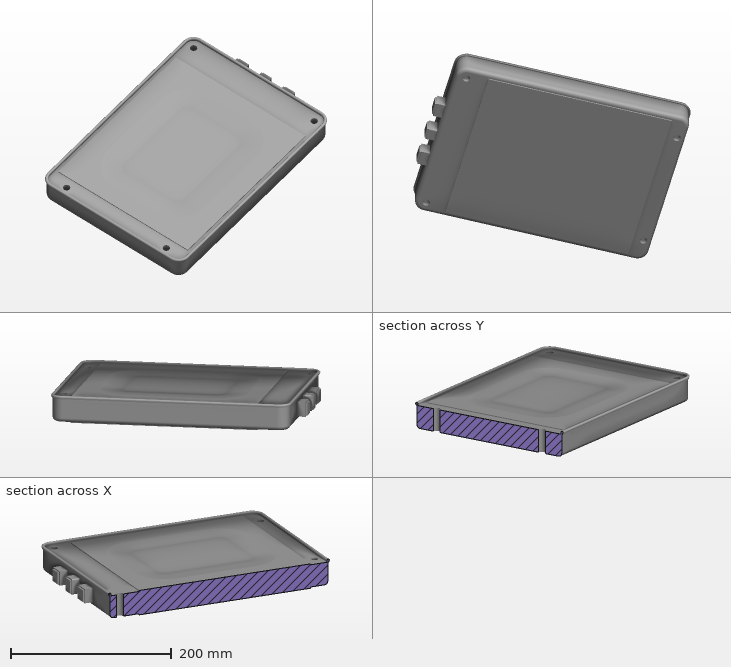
import cadquery as cq

OVERALL_LENGTH = 315.0

CASE_WIDTH = 219.0
CASE_LENGTH = 300.0
CORNER_RADIUS = 14.0
CASE_BOTTOM = 1.5
PANEL_HEIGHT = 31.5
BOTTOM_FILLET = 5.0

BEAD_RADIUS = 2.05
RIM_TOP = 35.3
BEAD_Z = RIM_TOP - BEAD_RADIUS
RIM_BOTTOM = 31.2
BAND_TOP_OVERHANG = 1.5
BAND_BOTTOM_OVERHANG = 1.3

PAD_WIDTH = 205.3
PAD_LENGTH = 236.2
PAD_CENTER_Y = -8.2
PAD_TOP = PANEL_HEIGHT + 1.3
PAD_BOTTOM = 0

DISH_WIDTH = 151.0
DISH_LENGTH = 189.0
DISH_CORNER_RADIUS = 40.3
DISH_SLOPE_RUN = 28.5
DISH_DEPTH = 2.0

HOLE_DIAMETER = 9.0
REAR_HOLE_X = CASE_WIDTH / 2 - CORNER_RADIUS
REAR_HOLE_Y = CASE_LENGTH / 2 - CORNER_RADIUS
FRONT_HOLE_X = 79.0
FRONT_HOLE_Y = -139.5

CONNECTOR_REACH = OVERALL_LENGTH - CASE_LENGTH - BEAD_RADIUS
CONNECTOR_Z = 16.5
TIP_LENGTH = 2.2
OUTER_CONNECTOR_X = 37.0
OUTER_CONNECTOR_SIZE = 18.5
MIDDLE_CONNECTOR_WIDTH = 16.5
MIDDLE_CONNECTOR_HEIGHT = 20.0
MIDDLE_EDGE_RADIUS = 1.5
TIP_INSET = 1.5


def rounded_block(width, length, radius, bottom, top):
    block = cq.Workplane("XY").workplane(offset=bottom).rect(width, length).extrude(top - bottom)
    return block.edges("|Z").fillet(radius)


def make_case():
    case = rounded_block(CASE_WIDTH, CASE_LENGTH, CORNER_RADIUS, CASE_BOTTOM, PANEL_HEIGHT)
    return case.faces("<Z").edges().fillet(BOTTOM_FILLET)


def make_rim():
    outline = rounded_block(CASE_WIDTH, CASE_LENGTH, CORNER_RADIUS, BEAD_Z, RIM_TOP)
    path = outline.faces("<Z").wires()
    band_depth = BEAD_Z - RIM_BOTTOM
    section = (
        cq.Workplane("XZ", origin=(CASE_WIDTH / 2, 0, BEAD_Z))
        .moveTo(BEAD_RADIUS, 0)
        .threePointArc((0, BEAD_RADIUS), (-BEAD_RADIUS, 0))
        .lineTo(-BEAD_RADIUS, -band_depth)
        .lineTo(BAND_BOTTOM_OVERHANG, -band_depth)
        .lineTo(BAND_TOP_OVERHANG, 0)
        .close()
    )
    return section.sweep(path)


def make_pad():
    pad = cq.Workplane("XY").workplane(offset=PAD_BOTTOM).center(0, PAD_CENTER_Y)
    return pad.rect(PAD_WIDTH, PAD_LENGTH).extrude(PAD_TOP - PAD_BOTTOM)


def dish_outline(inset, z):
    sketch = cq.Sketch().rect(DISH_WIDTH - 2 * inset, DISH_LENGTH - 2 * inset)
    sketch = sketch.vertices().fillet(DISH_CORNER_RADIUS - inset)
    return sketch.moved(cq.Location(cq.Vector(0, PAD_CENTER_Y, z)))


def make_dish():
    mouth = dish_outline(0, PAD_TOP)
    floor = dish_outline(DISH_SLOPE_RUN, PAD_TOP - DISH_DEPTH)
    return cq.Workplane("XY").placeSketch(mouth, floor).loft(ruled=True)


def make_holes():
    places = [(side * REAR_HOLE_X, REAR_HOLE_Y) for side in (-1, 1)]
    places += [(side * FRONT_HOLE_X, FRONT_HOLE_Y) for side in (-1, 1)]
    return cq.Workplane("XY").pushPoints(places).circle(HOLE_DIAMETER / 2).extrude(RIM_TOP)


def rear_plane(x):
    """Plane inside the rear wall at a connector's axis, facing outward along +Y."""
    origin = (x, CASE_LENGTH / 2 - CORNER_RADIUS, CONNECTOR_Z)
    return cq.Workplane(cq.Plane(origin=origin, xDir=(-1, 0, 0), normal=(0, 1, 0)))


def make_connector(x, width, height, edge_radius=0):
    full_length = CORNER_RADIUS + CONNECTOR_REACH
    body = rear_plane(x).rect(width, height).extrude(full_length - TIP_LENGTH)
    if edge_radius > 0:
        body = body.edges("|Y").fillet(edge_radius)
    tip = rear_plane(x).rect(width - 2 * TIP_INSET, height - 2 * TIP_INSET).extrude(full_length)
    return body.union(tip)


result = make_case().union(make_rim()).union(make_pad())
result = result.cut(make_dish()).cut(make_holes())
for side in (-1, 1):
    outer = make_connector(side * OUTER_CONNECTOR_X, OUTER_CONNECTOR_SIZE, OUTER_CONNECTOR_SIZE)
    result = result.union(outer)
middle = make_connector(0, MIDDLE_CONNECTOR_WIDTH, MIDDLE_CONNECTOR_HEIGHT, MIDDLE_EDGE_RADIUS)
result = result.union(middle)